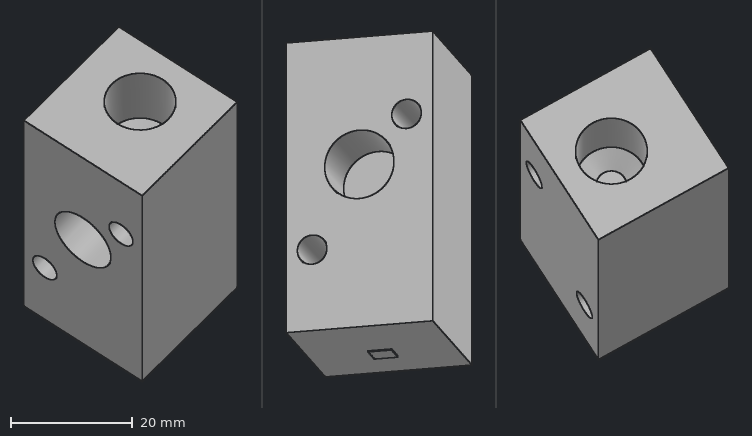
import cadquery as cq
import math

total_height = 50.2
width = 25.0
label_height = 0.2
label_size = 4.0
block_height = total_height - label_height

port_diameter = 11.8
port_floor_diameter = 5.0
port_offset_y = 2.5
port_depth = 12.05
cone_half_angle = math.radians(59)
cone_depth = (port_diameter - port_floor_diameter) / 2 / math.tan(cone_half_angle)

front_port_depth = 12.05
front_port_rise = 3.0
mount_diameter = 5.0
mount_offset_x = 8.05
mount_offset_z = 11.05

overlap = 0.25
middle_z = label_height + block_height / 2


def make_block():
    """Rectangular body, centred in X and Y, standing on the label pad."""
    return cq.Workplane("XY").workplane(offset=label_height).box(
        width, width, block_height, centered=(True, True, False)
    )


def make_label_pad():
    """Thin plain pad under the body, in line with the top port."""
    return (
        cq.Workplane("XY")
        .center(0, port_offset_y)
        .box(label_size, label_size, label_height + overlap, centered=(True, True, False))
    )


def make_top_port():
    """Straight bore whose floor narrows as a cone to a small flat."""
    radius = port_diameter / 2
    floor_z = total_height - port_depth - cone_depth
    return (
        cq.Workplane("XZ")
        .moveTo(0, floor_z)
        .lineTo(port_floor_diameter / 2, floor_z)
        .lineTo(radius, floor_z + cone_depth)
        .lineTo(radius, total_height)
        .lineTo(0, total_height)
        .close()
        .revolve(360, (0, 0), (0, 1))
        .translate((0, port_offset_y, 0))
    )


def make_front_port():
    """Flat-bottomed blind bore just above the middle of the -Y face."""
    return (
        cq.Workplane("XZ", origin=(0, -width / 2, middle_z + front_port_rise))
        .circle(port_diameter / 2)
        .extrude(-front_port_depth)
    )


def make_mounting_holes():
    """Two diagonal holes running through the body along Y."""
    return (
        cq.Workplane("XZ", origin=(0, -width / 2, middle_z))
        .pushPoints([(side * mount_offset_x, side * mount_offset_z) for side in (-1, 1)])
        .circle(mount_diameter / 2)
        .extrude(-width)
    )


result = make_block().union(make_label_pad())
for cutter in (make_top_port(), make_front_port(), make_mounting_holes()):
    result = result.cut(cutter)